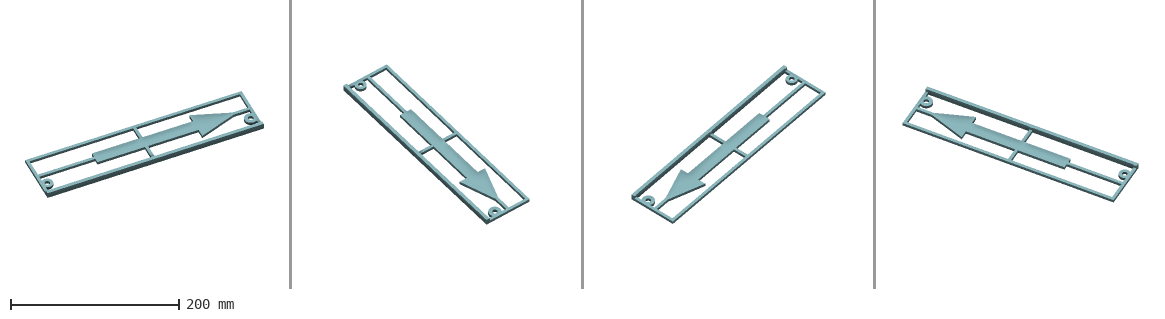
import cadquery as cq

length = 282
width = 65
right_side_drift = 0.5
plate_thickness = 4.0
overall_height = 8.0

bar_width = 4.0
right_bar_width = 4.5
cross_bar_center = length / 2

lip_inner_x = 59.5

arrow_center_x = 30.2
arrow_tail_y = 77.0
arrow_shoulder_y = 208.7
arrow_tip_y = 262.8
shaft_width = 16.0
head_width = 37.8

eye_x = 45.5
eye_hole_diameter = 6.5
eye_end_distance = 8.5
lower_eye_diameter = 14.5
upper_eye_diameter = 16.0


def right_edge(y):
    """X of the leaning outer right edge at position y along the frame."""
    return width - right_side_drift * y / length


def inner_right_edge(y):
    """X of the right side of the frame openings, parallel to the outer edge."""
    return right_edge(y) - right_bar_width


def prism(points, height):
    return cq.Workplane("XY").polyline(points).close().extrude(height)


def bar(x_min, x_max, y_min, y_max):
    corners = [(x_min, y_min), (x_max, y_min), (x_max, y_max), (x_min, y_max)]
    return prism(corners, plate_thickness)


def opening(y_min, y_max):
    """Full-height window between the left bar and the leaning right bar."""
    corners = [
        (bar_width, y_min),
        (inner_right_edge(y_min), y_min),
        (inner_right_edge(y_max), y_max),
        (bar_width, y_max),
    ]
    return prism(corners, overall_height)


def frame():
    outline = [(0, 0), (right_edge(0), 0), (right_edge(length), length), (0, length)]
    lip_outline = [
        (lip_inner_x, 0),
        (right_edge(0), 0),
        (right_edge(length), length),
        (lip_inner_x, length),
    ]
    body = prism(outline, plate_thickness).union(prism(lip_outline, overall_height))
    lower_opening = opening(bar_width, cross_bar_center - bar_width / 2)
    upper_opening = opening(cross_bar_center + bar_width / 2, length - bar_width)
    return body.cut(lower_opening).cut(upper_opening)


def arrow():
    """Center bar, shaft and triangular head, all as thick as the frame plate."""
    half_bar = bar_width / 2
    half_shaft = shaft_width / 2
    half_head = head_width / 2
    center_bar = bar(arrow_center_x - half_bar, arrow_center_x + half_bar, 0, length)
    shaft = bar(arrow_center_x - half_shaft, arrow_center_x + half_shaft, arrow_tail_y, arrow_shoulder_y)
    head_corners = [
        (arrow_center_x - half_head, arrow_shoulder_y),
        (arrow_center_x + half_head, arrow_shoulder_y),
        (arrow_center_x, arrow_tip_y),
    ]
    return center_bar.union(shaft).union(prism(head_corners, plate_thickness))


def disc(y, diameter):
    return cq.Workplane("XY").center(eye_x, y).circle(diameter / 2).extrude(plate_thickness)


result = frame().union(arrow())

eyes = [
    (eye_end_distance, lower_eye_diameter),
    (length - eye_end_distance, upper_eye_diameter),
]
for eye_y, eye_diameter in eyes:
    result = result.union(disc(eye_y, eye_diameter)).cut(disc(eye_y, eye_hole_diameter))